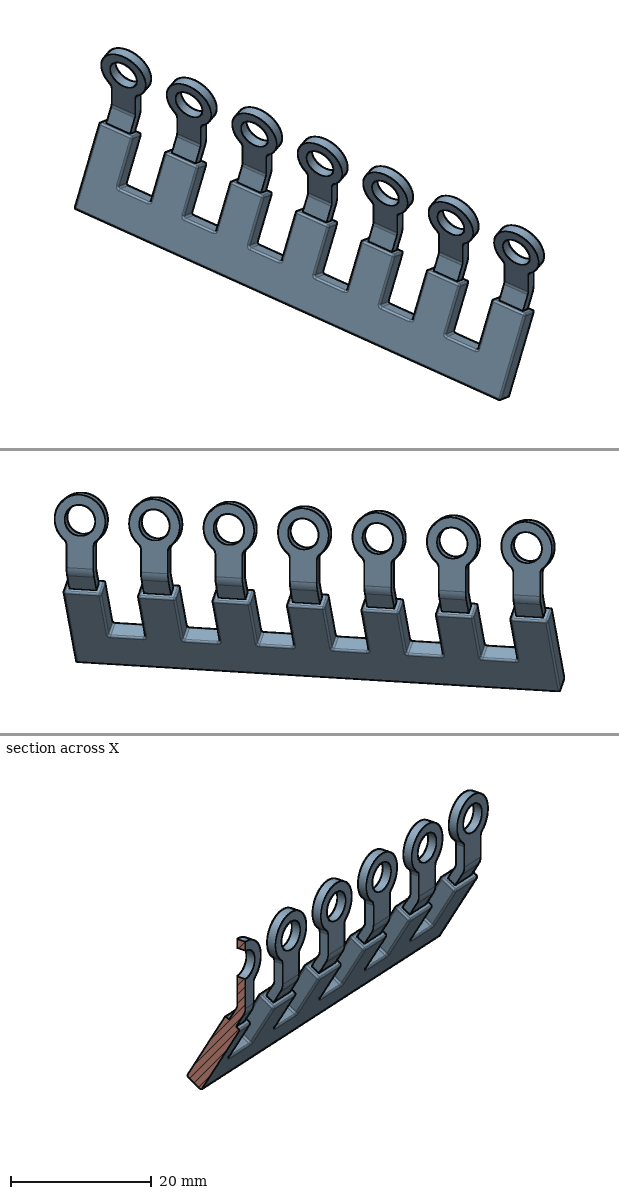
import cadquery as cq
import math

tab_count = 7
pitch = 11.0
row_length = (tab_count - 1) * pitch

tab_thickness = 1.5
tab_width = 4.0
ring_diameter = 7.5
hole_diameter = 4.5
neck_fillet = 1.0
bend_angle = 30.0
bend_radius = 1.0
ring_to_bend = 6.96
tilted_tab_length = 2.56

body_thickness = 3.0
body_height = 13.65
tooth_width = 5.6
tooth_height = 8.0
body_length = row_length + tooth_width
edge_radius = 0.3

bend_sin = math.sin(math.radians(bend_angle))
bend_cos = math.cos(math.radians(bend_angle))
bend_centre_y = -bend_radius
outer_bend_radius = bend_radius + tab_thickness
middle_bend_radius = bend_radius + tab_thickness / 2

tab_positions = [index * pitch - row_length / 2 for index in range(tab_count)]


def bend_point(radius, angle):
    """Point (Y, Z) on the bend, at an angle in degrees below its start."""
    radians = math.radians(angle)
    return (bend_centre_y + radius * math.cos(radians), -radius * math.sin(radians))


def along_tilt(point, distance):
    """Move a (Y, Z) point down the tilted direction."""
    return (point[0] - distance * bend_sin, point[1] - distance * bend_cos)


def make_ring_plate():
    """Upright flat ring with a neck that blends into it and runs down to the bend."""
    half_width = tab_width / 2
    ring_radius = ring_diameter / 2
    blend_x = half_width + neck_fillet
    centre_distance = ring_radius + neck_fillet
    blend_z = ring_to_bend - math.sqrt(centre_distance**2 - blend_x**2)
    to_ring = math.atan2(ring_to_bend - blend_z, -blend_x)
    middle_angle = (to_ring + math.pi) / 2

    def blend_arc_point(angle):
        return (blend_x + neck_fillet * math.cos(angle), blend_z + neck_fillet * math.sin(angle))

    tangent = blend_arc_point(to_ring)
    middle = blend_arc_point(middle_angle)
    outline = (
        cq.Workplane("XZ")
        .moveTo(-half_width, 0)
        .lineTo(half_width, 0)
        .lineTo(half_width, blend_z)
        .threePointArc(middle, tangent)
        .threePointArc((0, ring_to_bend + ring_radius), (-tangent[0], tangent[1]))
        .threePointArc((-middle[0], middle[1]), (-half_width, blend_z))
        .close()
    )
    hole = (
        cq.Workplane("XZ")
        .center(0, ring_to_bend)
        .circle(hole_diameter / 2)
        .extrude(-tab_thickness)
    )
    return outline.extrude(-tab_thickness).cut(hole)


def make_bent_foot():
    """Bend and tilted strip that join the ring plate to the body."""
    inner_end = bend_point(bend_radius, bend_angle)
    outer_end = bend_point(outer_bend_radius, bend_angle)
    return (
        cq.Workplane("YZ")
        .moveTo(*bend_point(bend_radius, 0))
        .threePointArc(bend_point(bend_radius, bend_angle / 2), inner_end)
        .lineTo(*along_tilt(inner_end, tilted_tab_length))
        .lineTo(*along_tilt(outer_end, tilted_tab_length))
        .lineTo(*outer_end)
        .threePointArc(bend_point(outer_bend_radius, bend_angle / 2), bend_point(outer_bend_radius, 0))
        .close()
        .extrude(tab_width / 2, both=True)
    )


def make_body():
    """Tilted comb with one tooth under each tab; all of its edges, inside corners too, are rounded."""
    base_height = body_height - tooth_height
    base = cq.Workplane("XY").box(body_length, body_thickness, base_height, centered=(True, True, False))
    comb = base.translate((0, 0, -body_height))
    tooth = cq.Workplane("XY").box(tooth_width, body_thickness, body_height, centered=(True, True, False))
    for x in tab_positions:
        comb = comb.union(tooth.translate((x, 0, -body_height)))
    comb = comb.edges().fillet(edge_radius)

    top_y, top_z = along_tilt(bend_point(middle_bend_radius, bend_angle), tilted_tab_length)
    return comb.rotate((0, 0, 0), (1, 0, 0), -bend_angle).translate((0, top_y, top_z))


tab = make_ring_plate().union(make_bent_foot())
result = make_body()
for tab_x in tab_positions:
    result = result.union(tab.translate((tab_x, 0, 0)))